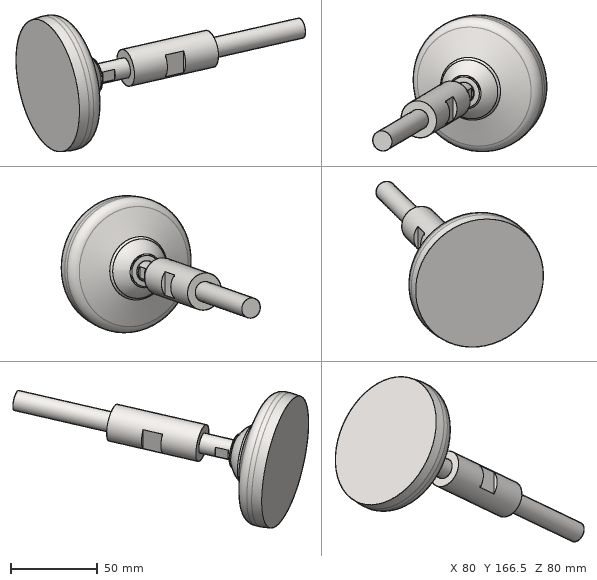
import cadquery as cq
import math

total_length = 166.5

foot_radius = 40.0
foot_base_radius = 39.3
draft_height = 6.0
rim_top = 9.0
shoulder_radius = 7.0
cone_angle = math.radians(20)
cone_top = 21.6
seat_height = 23.1
seat_radius = 17.5

rod_radius = 6.0
dome_top = 30.3
dome_top_radius = 9.3
dome_radius = 18.3
collar_radius = 10.0
collar_shoulder_radius = 9.2
collar_top_radius = 6.3
collar_edge_height = 30.8
collar_shoulder_height = 31.3
collar_top = 31.6
spindle_flat_start = 33.3
spindle_flat_length = 8.0
spindle_flat_width = 10.0

sleeve_radius = 11.0
sleeve_start = 51.3
sleeve_length = 55.3
sleeve_flat_length = 12.0
sleeve_flat_width = 17.0


def revolve_about_y(profile):
    return profile.close().revolve(360, (0, 0, 0), (0, 1, 0))


def cut_wrench_flats(body, radius, width, start, length):
    """Cut two flats facing -X and +X, leaving the given width between them."""
    depth = radius - width / 2
    for side in (-1, 1):
        cutter = cq.Workplane("XY").box(2 * depth, length, 2 * radius)
        body = body.cut(cutter.translate((side * (width / 2 + depth), start + length / 2, 0)))
    return body


def arc_middle(start, end, radius):
    """Middle point of the arc that bulges away from the axis between two profile points."""
    chord_x = end[0] - start[0]
    chord_y = end[1] - start[1]
    chord = math.hypot(chord_x, chord_y)
    bulge = radius - math.sqrt(radius**2 - (chord / 2) ** 2)
    middle_x = (start[0] + end[0]) / 2 + bulge * chord_y / chord
    middle_y = (start[1] + end[1]) / 2 - bulge * chord_x / chord
    return middle_x, middle_y


def make_foot():
    shoulder_centre_x = foot_radius - shoulder_radius
    shoulder_start = (foot_radius, rim_top)
    shoulder_end = (
        shoulder_centre_x + shoulder_radius * math.sin(cone_angle),
        rim_top + shoulder_radius * math.cos(cone_angle),
    )
    shoulder_middle = arc_middle(shoulder_start, shoulder_end, shoulder_radius)
    cone_top_radius = shoulder_end[0] - (cone_top - shoulder_end[1]) / math.tan(cone_angle)
    return revolve_about_y(
        cq.Workplane("XY")
        .lineTo(foot_base_radius, 0)
        .lineTo(foot_radius, draft_height)
        .lineTo(*shoulder_start)
        .threePointArc(shoulder_middle, shoulder_end)
        .lineTo(cone_top_radius, cone_top)
        .lineTo(seat_radius, seat_height)
        .lineTo(0, seat_height)
    )


def make_spindle():
    dome_start = (seat_radius, seat_height)
    dome_end = (dome_top_radius, dome_top)
    spindle = revolve_about_y(
        cq.Workplane("XY")
        .moveTo(0, seat_height)
        .lineTo(*dome_start)
        .threePointArc(arc_middle(dome_start, dome_end, dome_radius), dome_end)
        .lineTo(collar_radius, collar_edge_height)
        .lineTo(collar_shoulder_radius, collar_shoulder_height)
        .lineTo(collar_top_radius, collar_top)
        .lineTo(rod_radius, collar_top)
        .lineTo(rod_radius, total_length)
        .lineTo(0, total_length)
    )
    return cut_wrench_flats(
        spindle, rod_radius, spindle_flat_width, spindle_flat_start, spindle_flat_length
    )


def make_sleeve():
    sleeve_end = sleeve_start + sleeve_length
    sleeve = revolve_about_y(
        cq.Workplane("XY")
        .moveTo(rod_radius, sleeve_start)
        .lineTo(sleeve_radius, sleeve_start)
        .lineTo(sleeve_radius, sleeve_end)
        .lineTo(rod_radius, sleeve_end)
    )
    flat_start = sleeve_start + (sleeve_length - sleeve_flat_length) / 2
    return cut_wrench_flats(
        sleeve, sleeve_radius, sleeve_flat_width, flat_start, sleeve_flat_length
    )


foot = make_foot()
spindle = make_spindle()
sleeve = make_sleeve()

result = cq.Compound.makeCompound([foot.val(), spindle.solids().val(), sleeve.solids().val()])